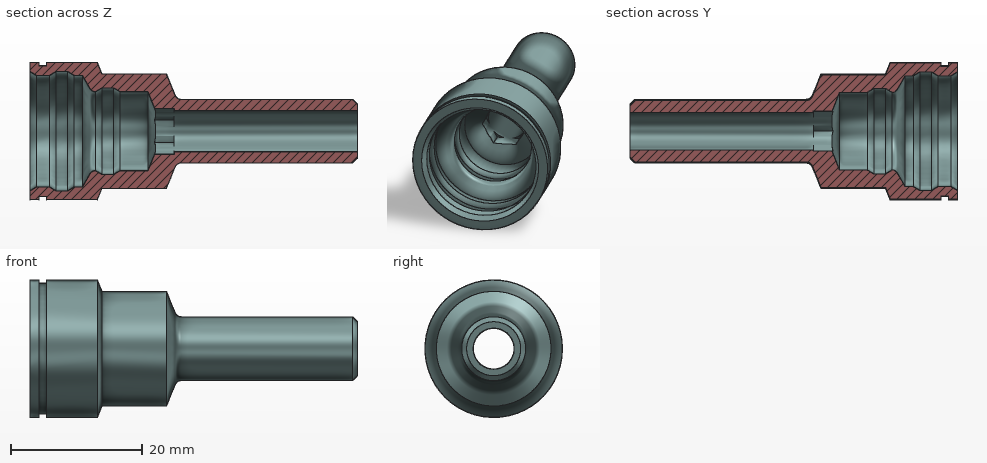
import cadquery as cq
import math

length = 50.0
head_diameter = 21.0
neck_diameter = 17.5
shank_diameter = 9.75
head_end = 10.3
neck_end = 20.85
shoulder_angle = 22.0
root_radius = 1.0
tip_chamfer = 0.75
ring_groove_start = 1.4
ring_groove_width = 1.1
ring_groove_diameter = 20.0

mouth_diameter = 18.2
mouth_taper_length = 1.0
bore_diameter = 17.0
relief_start = 3.0
relief_length = 3.75
relief_slope_length = 1.0
relief_depth = 0.6
bore_end = 8.0
seat_diameter = 13.0
seat_end = 9.15
lip_radius = 1.0
pocket_diameter = 12.0
pocket_end = 18.0
pocket_cone_angle = shoulder_angle
hole_diameter = 6.2
hex_across_corners = 6.95
hex_depth = 4.0


def revolve_profile(profile):
    return profile.close().revolve(360, (0, 0, 0), (1, 0, 0))


def slope_length(large_diameter, small_diameter, angle):
    """Axial length of a cone between two diameters."""
    return (large_diameter - small_diameter) / 2 * math.tan(math.radians(angle))


def outside():
    head, neck, shank = head_diameter / 2, neck_diameter / 2, shank_diameter / 2
    neck_start = head_end + slope_length(head_diameter, neck_diameter, shoulder_angle)
    shank_start = neck_end + slope_length(neck_diameter, shank_diameter, shoulder_angle)
    tangent = root_radius * math.tan(math.radians(90 - shoulder_angle) / 2)
    slope = math.radians(shoulder_angle)
    arc_start = (shank_start - tangent * math.sin(slope), shank + tangent * math.cos(slope))
    arc_end = (shank_start + tangent, shank)
    groove_end = ring_groove_start + ring_groove_width
    profile = (
        cq.Workplane("XY")
        .lineTo(0, head)
        .lineTo(ring_groove_start, head)
        .lineTo(ring_groove_start, ring_groove_diameter / 2)
        .lineTo(groove_end, ring_groove_diameter / 2)
        .lineTo(groove_end, head)
        .lineTo(head_end, head)
        .lineTo(neck_start, neck)
        .lineTo(neck_end, neck)
        .lineTo(*arc_start)
        .radiusArc(arc_end, -root_radius)
        .lineTo(length - tip_chamfer, shank)
        .lineTo(length, shank - tip_chamfer)
        .lineTo(length, 0)
    )
    return revolve_profile(profile)


def add_relief(profile, start, radius):
    """Add a ring undercut with sloping flanks to an outline that has reached its start."""
    end = start + relief_length
    floor = radius + relief_depth
    return (
        profile.lineTo(start + relief_slope_length, floor)
        .lineTo(end - relief_slope_length, floor)
        .lineTo(end, radius)
    )


def bore():
    bore_radius, pocket_radius = bore_diameter / 2, pocket_diameter / 2
    cone_end = pocket_end + slope_length(pocket_diameter, hole_diameter, pocket_cone_angle)
    lip_height = seat_diameter / 2 - pocket_radius
    lip_length = math.sqrt(lip_radius**2 - (lip_radius - lip_height) ** 2)
    lip_end = seat_end + lip_length
    profile = (
        cq.Workplane("XY")
        .lineTo(0, mouth_diameter / 2)
        .lineTo(mouth_taper_length, bore_radius)
    )
    profile = profile.lineTo(relief_start, bore_radius)
    profile = add_relief(profile, relief_start, bore_radius)
    profile = (
        profile.lineTo(bore_end, bore_radius)
        .lineTo(seat_end, seat_diameter / 2)
        .radiusArc((lip_end, pocket_radius), -lip_radius)
    )
    profile = add_relief(profile, lip_end, pocket_radius)
    profile = (
        profile.lineTo(pocket_end, pocket_radius)
        .lineTo(cone_end, hole_diameter / 2)
        .lineTo(length, hole_diameter / 2)
        .lineTo(length, 0)
    )
    return revolve_profile(profile)


def hex_socket():
    """Hexagon breaking out of the pocket cone, with two corners on the Y axis."""
    return (
        cq.Workplane("YZ")
        .workplane(offset=pocket_end)
        .polygon(6, hex_across_corners)
        .extrude(hex_depth)
    )


result = outside().cut(bore()).cut(hex_socket())